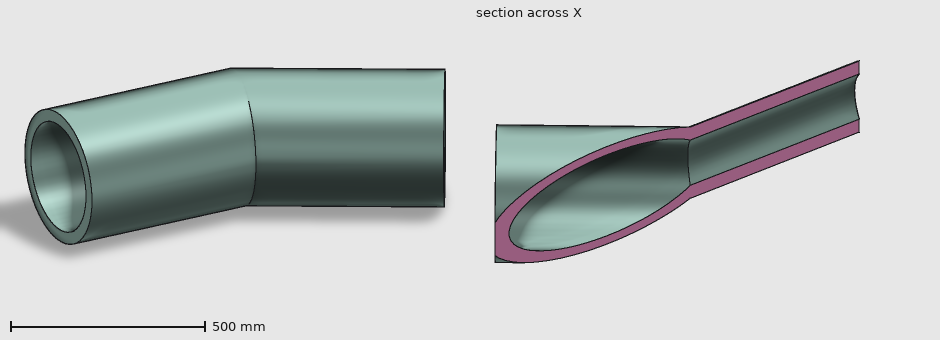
import cadquery as cq
import math

overall_length = 1078.0
outer_diameter = 355.0
inner_diameter = 291.0
bend_angle = math.radians(30)

end_face_reach = outer_diameter / 2 * math.sin(bend_angle)
leg_length = (overall_length - end_face_reach) / (1 + math.cos(bend_angle))

mitre_point = (0, leg_length)
tilted_end = (
    leg_length * math.sin(bend_angle),
    leg_length * (1 + math.cos(bend_angle)),
)
centreline = cq.Workplane("XY").polyline([(0, 0), mitre_point, tilted_end]).wire()


def mitred_rod(diameter):
    """Solid round bar along the centreline, with a mitred corner."""
    return cq.Workplane("XZ").circle(diameter / 2).sweep(centreline, transition="right")


result = mitred_rod(outer_diameter).cut(mitred_rod(inner_diameter))